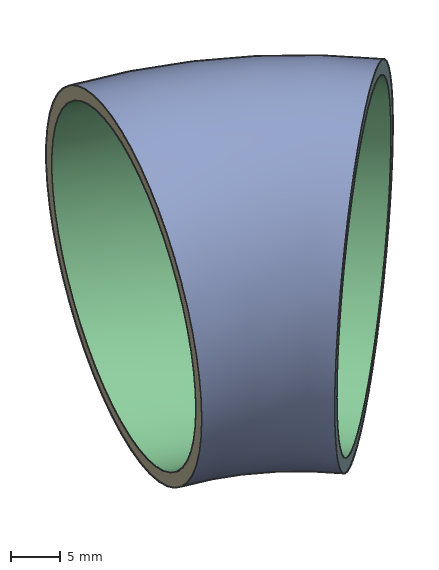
import cadquery as cq
import math

overall_length = 45.9
bend_angle = 30.0
bend_radius = 47.55
wall = 1.6

bend_cos = math.cos(math.radians(bend_angle))
outer_radius = (overall_length - bend_radius * (1 - bend_cos)) / (1 + bend_cos)
inner_radius = outer_radius - wall

pipe_section = cq.Workplane("XZ").circle(outer_radius).circle(inner_radius)
axis_start = (bend_radius, 0)
axis_end = (bend_radius, -1)
result = pipe_section.revolve(bend_angle, axis_start, axis_end)